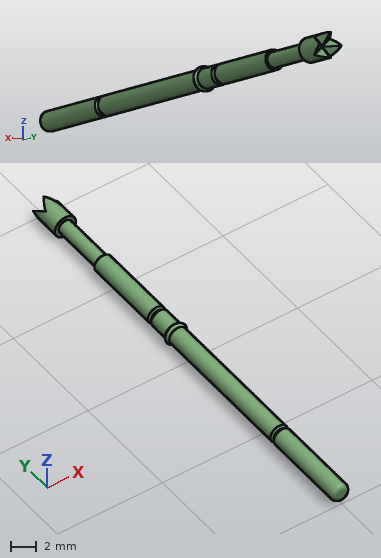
import cadquery as cq
import math


overall_length = 40.0
head_length = 2.9
stem_length = 5.05
barrel_length = overall_length - head_length - stem_length

head_radius = 1.0
stem_radius = 0.65
barrel_diameter = 1.65
barrel_radius = barrel_diameter / 2
rear_fillet = 0.4

groove_width = 0.45
groove_depth = 0.15
groove_centers = (8.2, 24.65)
ring_center = 22.25
ring_width = 0.5
ring_radius = head_radius

notch_directions = (45, 135)
notch_opening_angle = 60
notch_half_width = head_radius * math.sin(math.radians(45))
notch_depth = notch_half_width / math.tan(math.radians(notch_opening_angle / 2))


def cylinder_along_y(radius, start, length):
    """Solid cylinder around the Y axis, growing toward +Y from start."""
    plane = cq.Plane(origin=(0, start, 0), xDir=(1, 0, 0), normal=(0, 1, 0))
    return cq.Workplane(plane).circle(radius).extrude(length)


def revolve_around_y(profile):
    """Full turn of a closed XY profile around the Y axis."""
    return profile.revolve(360, (0, 0, 0), (0, 1, 0))


def v_groove(center):
    """Ring-shaped cutter with a V section, its point groove_depth below the barrel surface."""
    start = center - groove_width / 2
    end = center + groove_width / 2
    profile = (
        cq.Workplane("XY")
        .moveTo(barrel_radius - groove_depth, center)
        .lineTo(barrel_radius, end)
        .lineTo(head_radius, end)
        .lineTo(head_radius, start)
        .lineTo(barrel_radius, start)
        .close()
    )
    return revolve_around_y(profile)


def press_ring():
    """Disc with a rounded rim that bulges from the barrel surface out to ring_radius."""
    start = ring_center - ring_width / 2
    end = ring_center + ring_width / 2
    profile = (
        cq.Workplane("XY")
        .moveTo(0, start)
        .lineTo(barrel_radius, start)
        .threePointArc((ring_radius, ring_center), (barrel_radius, end))
        .lineTo(0, end)
        .close()
    )
    return revolve_around_y(profile)


def make_barrel():
    """Barrel with a rounded rear end, crimp grooves and the press ring."""
    barrel = cylinder_along_y(barrel_radius, 0, barrel_length)
    barrel = barrel.faces("<Y").edges().fillet(rear_fillet)
    for center in groove_centers:
        barrel = barrel.cut(v_groove(center))
    return barrel.union(press_ring())


def make_head():
    """Head whose two crossing V notches leave sharp points on the X and Z axes."""
    head = cylinder_along_y(head_radius, overall_length - head_length, head_length)
    notch = (
        cq.Workplane("XY")
        .moveTo(0, overall_length - notch_depth)
        .lineTo(notch_half_width, overall_length)
        .lineTo(-notch_half_width, overall_length)
        .close()
        .extrude(2 * head_radius, both=True)
    )
    for direction in notch_directions:
        head = head.cut(notch.rotate((0, 0, 0), (0, 1, 0), direction))
    return head


stem = cylinder_along_y(stem_radius, barrel_length, stem_length)
result = make_barrel().union(stem).union(make_head())